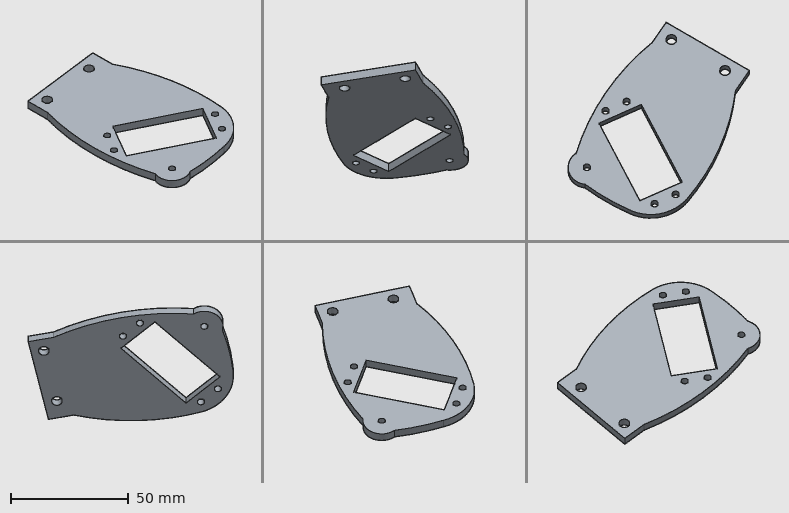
import cadquery as cq
import math

thickness = 4.0
length = 83.0
mount_height = 41.9
shoulder_x = 11.1

upper_mid = (33.4, 49.6)
corner_start = (64.7, 51.5)
corner_mid = (76.0, 46.1)
corner_end = (82.2, 32.8)
right_mid = (82.75, 22.4)
right_end = (99.0, 11.1)
lower_mid = (41.5, -4.2)
lower_end_x = 72.0

lug_radius = 8.0
lug_center = (length - lug_radius, 7.55)

mount_hole_diameter = 4.5
mount_hole_x = 5.6
mount_hole_spacing = 27.0
mount_hole_mid_y = 19.7
small_hole_diameter = 3.0

window_center = (57.0, 23.2)
window_length = 40.0
window_width = 20.0
window_angle = 58.1
screw_span = 48.0
screw_pitch = 10.0


def lug_point(angle):
    """Point on the lug rim at an angle in radians from +X."""
    return (
        lug_center[0] + lug_radius * math.cos(angle),
        lug_center[1] + lug_radius * math.sin(angle),
    )


def make_plate():
    lug_start_angle = math.asin((right_end[1] - lug_center[1]) / lug_radius)
    lug_end_angle = -math.acos((lower_end_x - lug_center[0]) / lug_radius)
    lug_mid_angle = (lug_start_angle + lug_end_angle) / 2
    return (
        cq.Workplane("XY")
        .moveTo(0, 0)
        .lineTo(0, mount_height)
        .lineTo(shoulder_x, mount_height)
        .threePointArc(upper_mid, corner_start)
        .threePointArc(corner_mid, corner_end)
        .threePointArc(right_mid, lug_point(lug_start_angle))
        .threePointArc(lug_point(lug_mid_angle), lug_point(lug_end_angle))
        .threePointArc(lower_mid, (shoulder_x, 0))
        .close()
        .extrude(thickness)
    )


def make_window_cut():
    window = cq.Workplane("XY").rect(window_length, window_width).extrude(thickness)
    screws = (
        cq.Workplane("XY")
        .rect(screw_span, screw_pitch, forConstruction=True)
        .vertices()
        .circle(small_hole_diameter / 2)
        .extrude(thickness)
    )
    return (
        window.add(screws)
        .combine()
        .rotate((0, 0, 0), (0, 0, 1), window_angle)
        .translate((window_center[0], window_center[1], 0))
    )


def make_round_holes():
    mount_holes = [
        (mount_hole_x, mount_hole_mid_y + side * mount_hole_spacing / 2)
        for side in (-1, 1)
    ]
    return (
        cq.Workplane("XY")
        .pushPoints(mount_holes)
        .circle(mount_hole_diameter / 2)
        .pushPoints([lug_center])
        .circle(small_hole_diameter / 2)
        .extrude(thickness)
    )


result = make_plate().cut(make_window_cut()).cut(make_round_holes())